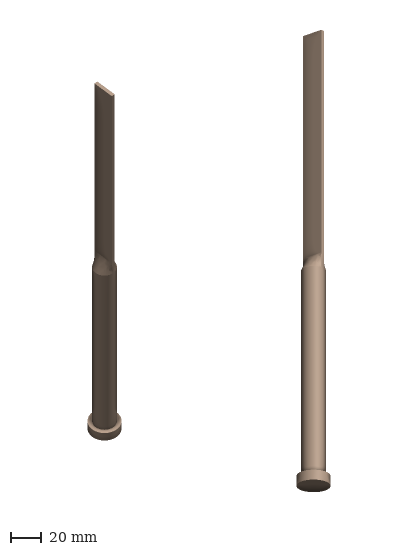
import cadquery as cq

total_length = 315.0
head_diameter = 22.0
head_height = 7.0
shaft_diameter = 16.0
shaft_top = 150.0
neck_height = 10.0
blade_width = shaft_diameter
blade_thickness = 2.5


def make_cylinder(diameter, height):
    """Round bar standing on the base plane."""
    return cq.Workplane("XY").circle(diameter / 2).extrude(height)


def make_neck():
    """Transition from the round shaft to the flat blade section."""
    return (
        cq.Workplane("XY", origin=(0, 0, shaft_top))
        .circle(shaft_diameter / 2)
        .workplane(offset=neck_height)
        .rect(blade_width, blade_thickness)
        .loft(ruled=True)
    )


def make_blade():
    """Flat blade rising from the top of the shaft, with full-width ends."""
    blade_length = total_length - shaft_top
    return (
        cq.Workplane("XY", origin=(0, 0, shaft_top))
        .rect(blade_width, blade_thickness)
        .extrude(blade_length)
    )


head = make_cylinder(head_diameter, head_height)
shaft = make_cylinder(shaft_diameter, shaft_top)

result = head.union(shaft).union(make_neck()).union(make_blade())